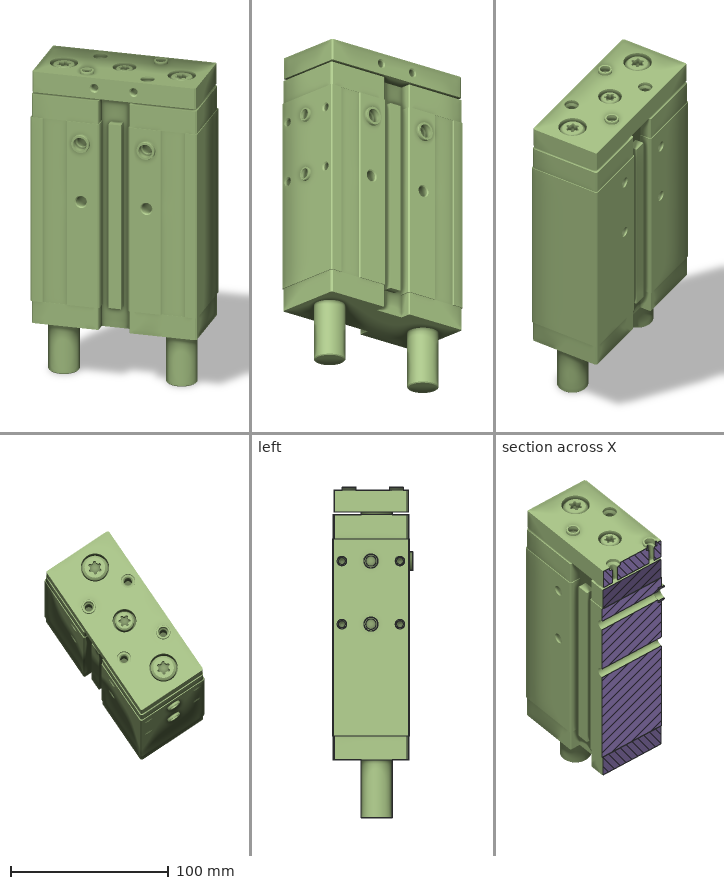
import cadquery as cq
import math

ROD_SPACING = 77.8
ROD_Y = -3.65
ROD_DIA = 20.0
ROD_END_CHAMFER = 0.6
PISTON_DIA = 12.0
ROD_OVERHANG = 37.0

BODY_WIDTH = 110.0
BODY_DEPTH = 49.0
BODY_HEIGHT = 125.0
BODY_CHAMFER = 0.8
CAP_WIDTH = 109.0
CAP_DEPTH = 48.0
CAP_CHAMFER = 1.0
LOWER_CAP_HEIGHT = 15.0
UPPER_CAP_HEIGHT = 15.5

BODY_BOTTOM = ROD_OVERHANG + LOWER_CAP_HEIGHT
BODY_TOP = BODY_BOTTOM + BODY_HEIGHT
HOUSING_TOP = BODY_TOP + UPPER_CAP_HEIGHT
FRONT_Y = -BODY_DEPTH / 2
LEFT_X = -BODY_WIDTH / 2

CAP_GROOVE_WIDTH = 20.3
CAP_GROOVE_DEPTH = 7.5
CAP_GROOVE_CHAMFER = 0.6
BODY_GROOVE_WIDTH = 19.2
BODY_GROOVE_DEPTH = CAP_GROOVE_DEPTH + (BODY_DEPTH - CAP_DEPTH) / 2
BODY_GROOVE_CHAMFER = 0.9
RIB_WIDTH = 8.2
RIB_SETBACK = 2.2
FLAT_INNER_X = 31.0
FLAT_OUTER_X = 46.9
FLAT_DEPTH = 0.7

PLATE_WIDTH = 108.0
PLATE_DEPTH = 47.5
PLATE_Y = -0.2
PLATE_FRONT_CHAMFER = 1.0
PLATE_BACK_CHAMFER = 0.4
PLATE_GAP = 1.5
PLATE_HEIGHT = 14.0
PLATE_BOTTOM = HOUSING_TOP + PLATE_GAP
PLATE_TOP = PLATE_BOTTOM + PLATE_HEIGHT

HEAD_SINK = 0.7
HEAD_RECESS_DEPTH = 8.0
SOCKET_DEPTH = 4.0
SOCKET_CORE_RATIO = 0.72
SOCKET_LOBE_RATIO = 0.22
SOCKET_LOBES = 6
ROD_RECESS_DIA = 18.0
ROD_HEAD_DIA = 16.0
ROD_HEAD_CHAMFER = 1.5
ROD_SOCKET_DIA = 8.8
ROD_SOCKET_ANGLE = 90.0
PISTON_RECESS_DIA = 15.0
PISTON_HEAD_DIA = 12.0
PISTON_HEAD_CHAMFER = 1.0
PISTON_SOCKET_DIA = 7.6
PISTON_SOCKET_ANGLE = 0.0

SMALL_SLEEVE_DIA = 9.0
SMALL_SLEEVE_BORE = 6.6
SMALL_SLEEVE_LENGTH = 4.0
SMALL_SLEEVE_PROUD = 1.8
LARGE_SLEEVE_DIA = 12.0
LARGE_SLEEVE_BORE = 8.8
LARGE_SLEEVE_LENGTH = 5.0
LARGE_SLEEVE_PROUD = 2.3
SLEEVE_TAPER_LENGTH = 0.6
SLEEVE_TAPER_RADIAL = 0.2
SMALL_RECESS_DEPTH = SMALL_SLEEVE_LENGTH - SMALL_SLEEVE_PROUD
LARGE_RECESS_DEPTH = LARGE_SLEEVE_LENGTH - LARGE_SLEEVE_PROUD

UPPER_HOLE_Z = BODY_TOP - 14.0
LOWER_HOLE_Z = UPPER_HOLE_Z - 40.0
SIDE_HOLE_LEVELS = (UPPER_HOLE_Z, LOWER_HOLE_Z)
MOUNT_HOLE_DIA = 6.8
MOUNT_HOLE_MOUTH_DIA = 8.2
MOUNT_HOLE_SPACING = 43.2
SMALL_THREAD_DIA = 4.37
SMALL_THREAD_MOUTH_DIA = 6.0
SMALL_THREAD_DEPTH = 10.0
DRILL_POINT_ANGLE = 118.0
SIDE_THREAD_SPACING = 36.8
PLATE_THREAD_SPACING = 26.0
PLATE_HOLE_DIA = 4.92
PLATE_HOLE_MOUTH_DIA = SMALL_SLEEVE_BORE
PLATE_HOLE_SPACING_X = 40.0
PLATE_HOLE_SPACING_Y = 30.0
PLATE_HOLE_Y = -1.15

UP = cq.Vector(0, 0, 1)
INTO_FRONT = cq.Vector(0, 1, 0)
INTO_LEFT = cq.Vector(1, 0, 0)
SIDES = (-1, 1)

rod_centers = [(side * ROD_SPACING / 2, ROD_Y) for side in SIDES]
mount_xs = [side * MOUNT_HOLE_SPACING / 2 for side in SIDES]
large_sleeve_points = [cq.Vector(x, FRONT_Y, UPPER_HOLE_Z) for x in mount_xs]
side_sleeve_points = [cq.Vector(LEFT_X, 0, z) for z in SIDE_HOLE_LEVELS]


def plate_hole_point(side_x, side_y):
    """Mouth of the plate hole in the corner with the given X and Y signs."""
    x = side_x * PLATE_HOLE_SPACING_X / 2
    y = PLATE_HOLE_Y + side_y * PLATE_HOLE_SPACING_Y / 2
    return cq.Vector(x, y, PLATE_TOP)


plate_hole_points = [plate_hole_point(sx, sy) for sx in SIDES for sy in SIDES]
plate_sleeve_points = [plate_hole_point(side, side) for side in SIDES]


def cylinder(dia, length, start, direction):
    """Cylinder from a start point along a direction."""
    return cq.Workplane(obj=cq.Solid.makeCylinder(dia / 2, length, start, direction))


def cone(start_dia, end_dia, length, start, direction):
    """Truncated or pointed cone from a start point along a direction."""
    return cq.Workplane(obj=cq.Solid.makeCone(start_dia / 2, end_dia / 2, length, start, direction))


def block(width, depth, bottom, height, center_y=0):
    """Upright rectangular block."""
    return cq.Workplane("XY", origin=(0, center_y, bottom)).rect(width, depth).extrude(height)


def face_slot(x_from, x_to, face_y, depth, bottom, height):
    """Vertical slot cut to a depth into the front (negative Y) or back face."""
    floor_y = face_y - math.copysign(depth, face_y)
    corner = cq.Vector(x_from, min(face_y, floor_y), bottom)
    return cq.Workplane(obj=cq.Solid.makeBox(x_to - x_from, depth, height, corner))


def sloped_slot(x_from, x_to, face_y, depth, bottom, height):
    """Vertical slot with 45 degree sides, widest at the face."""
    floor_y = face_y - math.copysign(depth, face_y)
    outline = [(x_from, face_y), (x_to, face_y), (x_to - depth, floor_y), (x_from + depth, floor_y)]
    return cq.Workplane("XY", origin=(0, 0, bottom)).polyline(outline).close().extrude(height)


def threaded_hole(mouth, direction):
    """Blind drilled hole with a countersunk mouth and a conical bottom."""
    countersink = (SMALL_THREAD_MOUTH_DIA - SMALL_THREAD_DIA) / 2
    point_length = SMALL_THREAD_DIA / 2 / math.tan(math.radians(DRILL_POINT_ANGLE / 2))
    hole = cylinder(SMALL_THREAD_DIA, SMALL_THREAD_DEPTH, mouth, direction)
    hole = hole.union(cone(SMALL_THREAD_MOUTH_DIA, SMALL_THREAD_DIA, countersink, mouth, direction))
    bottom = mouth + direction * SMALL_THREAD_DEPTH
    return hole.union(cone(SMALL_THREAD_DIA, 0, point_length, bottom, direction))


def mount_hole(x, z, floor_depth):
    """Through hole along Y, countersunk at a given depth below the front face."""
    countersink = (MOUNT_HOLE_MOUTH_DIA - MOUNT_HOLE_DIA) / 2
    hole = cylinder(MOUNT_HOLE_DIA, BODY_DEPTH, cq.Vector(x, FRONT_Y, z), INTO_FRONT)
    mouth = cq.Vector(x, FRONT_Y + floor_depth, z)
    return hole.union(cone(MOUNT_HOLE_MOUTH_DIA, MOUNT_HOLE_DIA, countersink, mouth, INTO_FRONT))


def make_cap(bottom, height):
    """End cap with rod bores and a central groove, chamfered at its mouth, on the front and back."""
    cap = block(CAP_WIDTH, CAP_DEPTH, bottom, height).edges("|Z").chamfer(CAP_CHAMFER)
    half = CAP_GROOVE_WIDTH / 2
    mouth_half = half + CAP_GROOVE_CHAMFER
    for side in SIDES:
        face_y = side * CAP_DEPTH / 2
        cap = cap.cut(face_slot(-half, half, face_y, CAP_GROOVE_DEPTH, bottom, height))
        cap = cap.cut(sloped_slot(-mouth_half, mouth_half, face_y, CAP_GROOVE_CHAMFER, bottom, height))
    for x, y in rod_centers:
        cap = cap.cut(cylinder(ROD_DIA, height, cq.Vector(x, y, bottom), UP))
    return cap


def make_upper_cap():
    """Upper cap, also bored for the piston rod."""
    bore = cylinder(PISTON_DIA, UPPER_CAP_HEIGHT, cq.Vector(0, 0, BODY_TOP), UP)
    return make_cap(BODY_TOP, UPPER_CAP_HEIGHT).cut(bore)


def barrel_profile():
    """Barrel with a ribbed groove on the front and back, and shallow flats on the front."""
    body = block(BODY_WIDTH, BODY_DEPTH, BODY_BOTTOM, BODY_HEIGHT)
    body = body.edges("|Z").chamfer(BODY_CHAMFER)
    half = BODY_GROOVE_WIDTH / 2
    mouth_half = half + BODY_GROOVE_CHAMFER
    rib_half = RIB_WIDTH / 2
    for side in SIDES:
        face_y = side * BODY_DEPTH / 2
        grooves = [
            (-half, -rib_half, BODY_GROOVE_DEPTH),
            (-rib_half, rib_half, RIB_SETBACK),
            (rib_half, half, BODY_GROOVE_DEPTH),
        ]
        for x_from, x_to, depth in grooves:
            body = body.cut(face_slot(x_from, x_to, face_y, depth, BODY_BOTTOM, BODY_HEIGHT))
        mouth = sloped_slot(-mouth_half, mouth_half, face_y, BODY_GROOVE_CHAMFER, BODY_BOTTOM, BODY_HEIGHT)
        body = body.cut(mouth)
    for x_from, x_to in [(-FLAT_OUTER_X, -FLAT_INNER_X), (FLAT_INNER_X, FLAT_OUTER_X)]:
        body = body.cut(sloped_slot(x_from, x_to, FRONT_Y, FLAT_DEPTH, BODY_BOTTOM, BODY_HEIGHT))
    return body


def make_barrel():
    """Barrel with rod bores, mounting holes, threaded holes and sleeve recesses."""
    barrel = barrel_profile()
    for x, y in rod_centers:
        barrel = barrel.cut(cylinder(ROD_DIA, BODY_HEIGHT, cq.Vector(x, y, BODY_BOTTOM), UP))
    for x in mount_xs:
        barrel = barrel.cut(mount_hole(x, UPPER_HOLE_Z, LARGE_RECESS_DEPTH))
        barrel = barrel.cut(mount_hole(x, LOWER_HOLE_Z, 0))
    for point in large_sleeve_points:
        barrel = barrel.cut(cylinder(LARGE_SLEEVE_DIA, LARGE_RECESS_DEPTH, point, INTO_FRONT))
    for point in side_sleeve_points:
        barrel = barrel.cut(cylinder(SMALL_SLEEVE_DIA, SMALL_RECESS_DEPTH, point, INTO_LEFT))
    for z in SIDE_HOLE_LEVELS:
        for side in SIDES:
            mouth = cq.Vector(LEFT_X, side * SIDE_THREAD_SPACING / 2, z)
            barrel = barrel.cut(threaded_hole(mouth, INTO_LEFT))
    return barrel


def socket_cutter(x, y, socket_dia, first_lobe_angle):
    """Six-lobed socket: a round core with a smaller round lobe at each point."""
    core_dia = socket_dia * SOCKET_CORE_RATIO
    lobe_dia = socket_dia * SOCKET_LOBE_RATIO
    lobe_radius = (socket_dia - lobe_dia) / 2
    floor_z = PLATE_TOP - HEAD_SINK - SOCKET_DEPTH
    socket = cylinder(core_dia, SOCKET_DEPTH, cq.Vector(x, y, floor_z), UP)
    for i in range(SOCKET_LOBES):
        angle = math.radians(first_lobe_angle + i * 360 / SOCKET_LOBES)
        lobe_x = x + lobe_radius * math.cos(angle)
        lobe_y = y + lobe_radius * math.sin(angle)
        socket = socket.union(cylinder(lobe_dia, SOCKET_DEPTH, cq.Vector(lobe_x, lobe_y, floor_z), UP))
    return socket


def add_screw(plate, x, y, recess_dia, head_dia, head_chamfer, socket):
    """Plate with a screw head standing in a round recess."""
    recess_floor = cq.Vector(x, y, PLATE_TOP - HEAD_RECESS_DEPTH)
    head = cylinder(head_dia, HEAD_RECESS_DEPTH - HEAD_SINK, recess_floor, UP)
    head = head.faces(">Z").edges().chamfer(head_chamfer).cut(socket)
    return plate.cut(cylinder(recess_dia, HEAD_RECESS_DEPTH, recess_floor, UP)).union(head)


def make_slide():
    """Plate with its guide rods, piston rod and fastening screws."""
    slide = block(PLATE_WIDTH, PLATE_DEPTH, PLATE_BOTTOM, PLATE_HEIGHT, PLATE_Y)
    slide = slide.edges("|Z and <Y").chamfer(PLATE_FRONT_CHAMFER)
    slide = slide.edges("|Z and >Y").chamfer(PLATE_BACK_CHAMFER)
    for x, y in rod_centers:
        rod = cylinder(ROD_DIA, PLATE_BOTTOM, cq.Vector(x, y, 0), UP)
        slide = slide.union(rod.faces("<Z").edges().chamfer(ROD_END_CHAMFER))
    slide = slide.union(cylinder(PISTON_DIA, PLATE_BOTTOM - BODY_TOP, cq.Vector(0, 0, BODY_TOP), UP))

    for x, y in rod_centers:
        socket = socket_cutter(x, y, ROD_SOCKET_DIA, ROD_SOCKET_ANGLE)
        slide = add_screw(slide, x, y, ROD_RECESS_DIA, ROD_HEAD_DIA, ROD_HEAD_CHAMFER, socket)
    socket = socket_cutter(0, 0, PISTON_SOCKET_DIA, PISTON_SOCKET_ANGLE)
    slide = add_screw(slide, 0, 0, PISTON_RECESS_DIA, PISTON_HEAD_DIA, PISTON_HEAD_CHAMFER, socket)

    countersink = (PLATE_HOLE_MOUTH_DIA - PLATE_HOLE_DIA) / 2
    for point in plate_hole_points:
        recess_floor = point - UP * SMALL_RECESS_DEPTH
        slide = slide.cut(cone(PLATE_HOLE_MOUTH_DIA, PLATE_HOLE_DIA, countersink, recess_floor, -UP))
        slide = slide.cut(cylinder(PLATE_HOLE_DIA, PLATE_HEIGHT, point, -UP))
        slide = slide.cut(cylinder(SMALL_SLEEVE_DIA, SMALL_RECESS_DEPTH, point, -UP))
    for side in SIDES:
        mouth_y = PLATE_Y - PLATE_DEPTH / 2
        mouth = cq.Vector(side * PLATE_THREAD_SPACING / 2, mouth_y, PLATE_BOTTOM + PLATE_HEIGHT / 2)
        slide = slide.cut(threaded_hole(mouth, INTO_FRONT))
    return slide


def make_sleeve(dia, bore, length, proud, point, inward):
    """Centring sleeve seated in its recess, standing proud of the face with a tapered outer end."""
    outer_end = point - inward * proud
    taper_end = outer_end + inward * SLEEVE_TAPER_LENGTH
    sleeve = cone(dia - 2 * SLEEVE_TAPER_RADIAL, dia, SLEEVE_TAPER_LENGTH, outer_end, inward)
    sleeve = sleeve.union(cylinder(dia, length - SLEEVE_TAPER_LENGTH, taper_end, inward))
    return sleeve.cut(cylinder(bore, length, outer_end, inward))


def make_small_sleeve(point, inward):
    """Small centring sleeve."""
    return make_sleeve(
        SMALL_SLEEVE_DIA, SMALL_SLEEVE_BORE, SMALL_SLEEVE_LENGTH, SMALL_SLEEVE_PROUD, point, inward
    )


def make_large_sleeve(point, inward):
    """Large centring sleeve."""
    return make_sleeve(
        LARGE_SLEEVE_DIA, LARGE_SLEEVE_BORE, LARGE_SLEEVE_LENGTH, LARGE_SLEEVE_PROUD, point, inward
    )


barrel = make_barrel()
lower_cap = make_cap(ROD_OVERHANG, LOWER_CAP_HEIGHT)
upper_cap = make_upper_cap()
slide = make_slide()
plate_sleeves = [make_small_sleeve(point, -UP) for point in plate_sleeve_points]
side_sleeves = [make_small_sleeve(point, INTO_LEFT) for point in side_sleeve_points]
front_sleeves = [make_large_sleeve(point, INTO_FRONT) for point in large_sleeve_points]
sleeves = plate_sleeves + side_sleeves + front_sleeves

result = cq.Compound.makeCompound([body.val() for body in [barrel, lower_cap, upper_cap, slide] + sleeves])